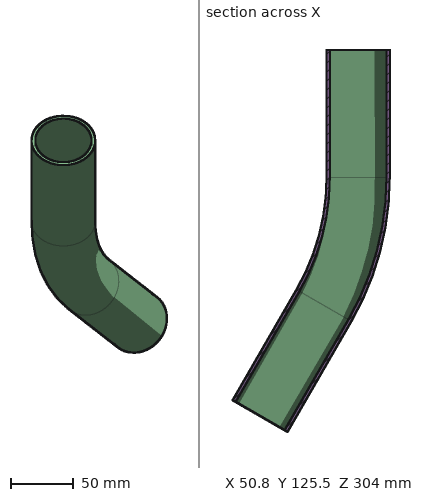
import cadquery as cq
import math

overall_height = 304.0
bend_degrees = 30.0
wall = 3.0
leg_diameters = 2.0
bend_diameters = 4.0

bend_angle = math.radians(bend_degrees)
sine = math.sin(bend_angle)
cosine = math.cos(bend_angle)

height_diameters = leg_diameters * (1 + cosine) + bend_diameters * sine + sine / 2
outer_diameter = overall_height / height_diameters
inner_diameter = outer_diameter - 2 * wall
leg_length = leg_diameters * outer_diameter
bend_radius = bend_diameters * outer_diameter


def centreline_point(angle):
    """Point (y, z) on the bend at an angle down from its upper end."""
    return (
        bend_radius * (1 - math.cos(angle)),
        -leg_length - bend_radius * math.sin(angle),
    )


bend_start = centreline_point(0)
bend_middle = centreline_point(bend_angle / 2)
bend_end = centreline_point(bend_angle)
lower_mouth = (bend_end[0] + leg_length * sine, bend_end[1] - leg_length * cosine)

centreline = (
    cq.Workplane("YZ")
    .moveTo(0, 0)
    .lineTo(*bend_start)
    .threePointArc(bend_middle, bend_end)
    .lineTo(*lower_mouth)
)

result = (
    cq.Workplane("XY")
    .circle(outer_diameter / 2)
    .circle(inner_diameter / 2)
    .sweep(centreline)
)